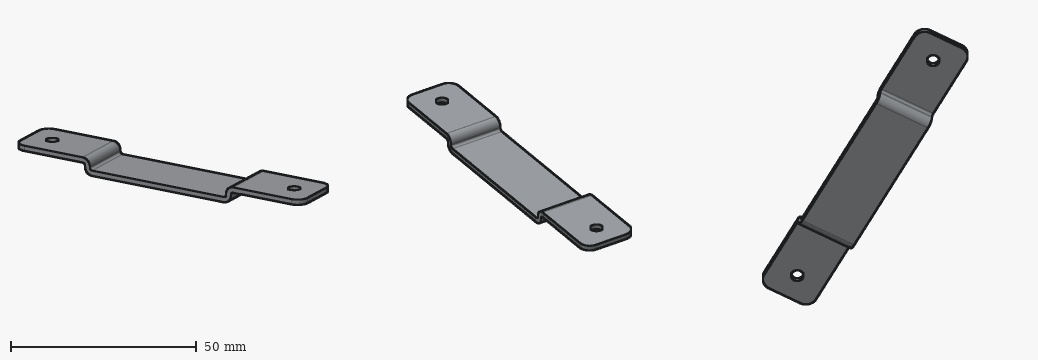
import cadquery as cq

length = 90.4
width = 15.9
height = 4.8
thickness = 1.5

middle_half_length = 20.7
inner_bend_radius = 0.7
outer_bend_radius = inner_bend_radius + thickness

corner_radius = 3.2
hole_diameter = 3.35
hole_spacing = 76.1

end_x = length / 2
tab_underside = height - thickness
wall_inner_x = middle_half_length + inner_bend_radius
wall_outer_x = middle_half_length + outer_bend_radius
tab_start_x = wall_outer_x + inner_bend_radius
lower_bend_z = outer_bend_radius
upper_bend_z = height - outer_bend_radius


def half_strap():
    """Bent strap from the middle plane to the +X end, extruded across the width."""
    profile = (
        cq.Workplane("XZ")
        .moveTo(0, 0)
        .lineTo(middle_half_length, 0)
        .radiusArc((wall_outer_x, lower_bend_z), -outer_bend_radius)
        .lineTo(wall_outer_x, upper_bend_z)
        .radiusArc((tab_start_x, tab_underside), inner_bend_radius)
        .lineTo(end_x, tab_underside)
        .lineTo(end_x, height)
        .lineTo(tab_start_x, height)
        .radiusArc((wall_inner_x, upper_bend_z), -outer_bend_radius)
        .lineTo(wall_inner_x, lower_bend_z)
        .radiusArc((middle_half_length, thickness), inner_bend_radius)
        .lineTo(0, thickness)
        .close()
    )
    return profile.extrude(width / 2, both=True)


def tab_holes():
    """Vertical cutters for the hole in each end tab."""
    return (
        cq.Workplane("XY")
        .pushPoints([(-hole_spacing / 2, 0), (hole_spacing / 2, 0)])
        .circle(hole_diameter / 2)
        .extrude(height)
    )


right_half = half_strap()
strap = right_half.union(right_half.mirror("YZ")).clean()
rounded_strap = strap.edges("|Z and (<X or >X)").fillet(corner_radius)
result = rounded_strap.cut(tab_holes())